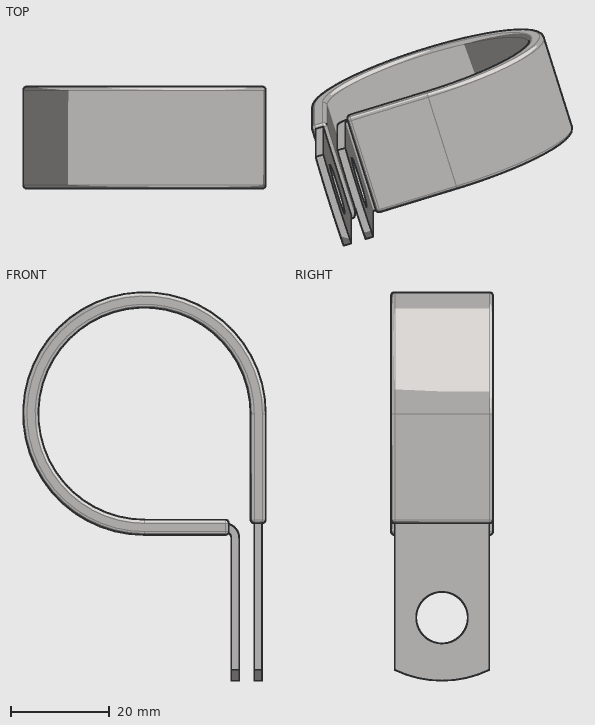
import cadquery as cq
import math

DIAGONAL = math.cos(math.pi / 4)

total_height = 78.5
loop_diameter = 49.1
cushion_width = 20.65

cushion_thickness = 3.15
cushion_cover = 0.745
edge_radius = cushion_cover
strap_thickness = cushion_thickness - 2 * cushion_cover
strap_width = cushion_width - 2 * cushion_cover

outer_radius = loop_diameter / 2
inner_radius = outer_radius - cushion_thickness
strap_outer_radius = outer_radius - cushion_cover
strap_inner_radius = strap_outer_radius - strap_thickness
cushion_end_x = 17.0
cushion_end_z = -22.15

bottom_z = outer_radius - total_height
bent_tab_outer_x = 19.15
bent_tab_inner_x = bent_tab_outer_x - strap_thickness
bend_inner_radius = 1.3
bend_outer_radius = bend_inner_radius + strap_thickness
hole_diameter = 10.4
hole_z = -41.2
tip_rise = 2.2


def loop_band(outer, inner, tail_end_x, leg_end_z, width):
    """A three-quarter ring with a flat bottom tail and a vertical right leg."""
    return (
        cq.Workplane("XZ")
        .moveTo(tail_end_x, -outer)
        .lineTo(0, -outer)
        .threePointArc((-outer * DIAGONAL, outer * DIAGONAL), (outer, 0))
        .lineTo(outer, leg_end_z)
        .lineTo(inner, leg_end_z)
        .lineTo(inner, 0)
        .threePointArc((-inner * DIAGONAL, inner * DIAGONAL), (0, -inner))
        .lineTo(tail_end_x, -inner)
        .close()
        .extrude(width / 2, both=True)
    )


def make_cushion():
    """Rubber cushion, rounded along both rims and around both ends."""
    band = loop_band(outer_radius, inner_radius, cushion_end_x, cushion_end_z, cushion_width)
    rims_and_ends = band.faces("<Y or >Y").edges()
    tail_end = band.faces(cq.selectors.NearestToPointSelector(
        (cushion_end_x, 0, -(outer_radius + inner_radius) / 2))).edges("|Y")
    leg_end = band.faces(cq.selectors.NearestToPointSelector(
        ((outer_radius + inner_radius) / 2, 0, cushion_end_z))).edges("|Y")
    return rims_and_ends.add(tail_end).add(leg_end).fillet(edge_radius)


def make_bent_tab():
    """Tab that leaves the flat tail and turns down through a right-angle bend."""
    bend_x = bent_tab_outer_x - bend_outer_radius
    bend_z = -strap_inner_radius - bend_outer_radius
    outer_mid = bend_outer_radius * DIAGONAL
    inner_mid = bend_inner_radius * DIAGONAL
    return (
        cq.Workplane("XZ")
        .moveTo(bend_x, -strap_inner_radius)
        .threePointArc((bend_x + outer_mid, bend_z + outer_mid), (bent_tab_outer_x, bend_z))
        .lineTo(bent_tab_outer_x, bottom_z)
        .lineTo(bent_tab_inner_x, bottom_z)
        .lineTo(bent_tab_inner_x, bend_z)
        .threePointArc((bend_x + inner_mid, bend_z + inner_mid), (bend_x, -strap_outer_radius))
        .close()
        .extrude(strap_width / 2, both=True)
    )


def make_tip_envelope():
    """Region kept by the strap: rounded tab tips and the bolt hole."""
    half_width = strap_width / 2
    return (
        cq.Workplane("YZ", origin=(-outer_radius, 0, 0))
        .moveTo(-half_width, outer_radius)
        .lineTo(-half_width, bottom_z + tip_rise)
        .threePointArc((0, bottom_z), (half_width, bottom_z + tip_rise))
        .lineTo(half_width, outer_radius)
        .close()
        .moveTo(0, hole_z)
        .circle(hole_diameter / 2)
        .extrude(loop_diameter)
    )


strap_tail_x = bent_tab_outer_x - bend_outer_radius
strap = loop_band(strap_outer_radius, strap_inner_radius, strap_tail_x, bottom_z, strap_width)
strap = strap.union(make_bent_tab()).intersect(make_tip_envelope())

result = make_cushion().union(strap)